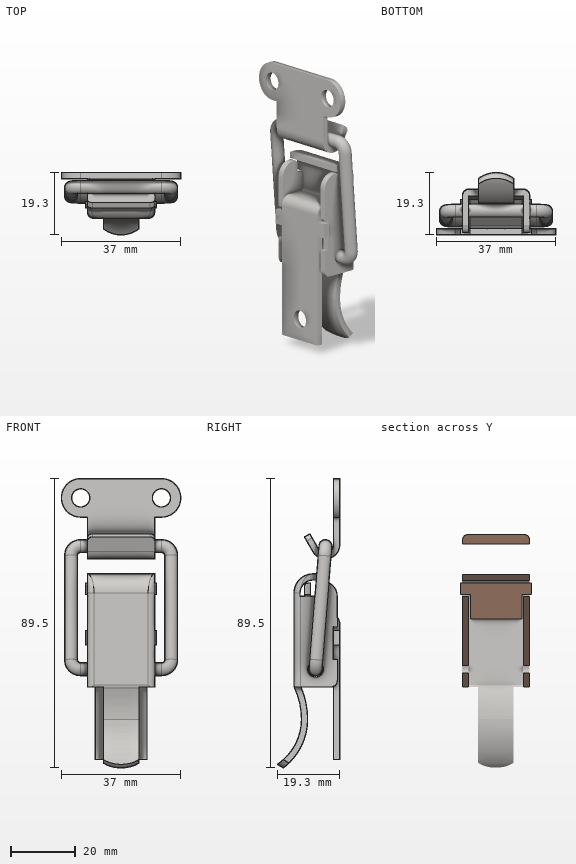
import cadquery as cq
import math


height = 89.5
sheet = 2.0
cover_width = 20.85

strike_width = 37.0
ear_radius = 6.0
strike_hole = 5.55
hook_inner_radius = 2.5
hook_outer_radius = hook_inner_radius + sheet
hook_bottom = 64.6
hook_angle = 30.0
hook_lip = 5.3
hook_corner_radius = 1.5

wire = 4.0
bail_width = 35.0
bail_corner_radius = 2.95
pivot_depth = 7.5
pivot_z = 30.5
pivot_hole = 4.7

cover_front = 14.2
cover_back = 0.8
cover_bottom = 25.0
front_face_bottom = 25.15
kink_radius = 2.3
curl_radius = 6.0
curl_center_z = 54.1
curl_end_depth = 5.6
cover_edge_round = 2.1
fade_angles = (0, 20, 40, 60, 75, 85)
wall_corner_radius = 2.0
wall_top = 53.2
wall_tab_top = 57.6
wall_tab_depth = 7.0
wall_tab_back_radius = 4.5
wall_tab_front_radius = 1.3
notch_bottom = 33.6
notch_top = 43.6
notch_depth = 2.1

finger_width = 11.0
waist_depth = 11.9
waist_z = 15.0
lower_sweep_radius = 16.7
tip_overrun_angle = 75.0
tip_radius = 7.9
tip_depth = 19.3
tip_tilt = 31.8

base_width = 16.0
base_bottom = 2.6
base_hole = 5.55
base_hole_z = 9.4
bend_inner_radius = 1.0
bend_outer_radius = bend_inner_radius + sheet
base_bend_z = 44.6
hinge_depth = 9.0
lug_span = 22.0
hinge_lug_bottom = 53.6
hinge_lug_top = 57.2
hinge_lug_round = 1.1
stop_lug_bottom = 37.95
stop_lug_top = 42.5


def side_plane(x=0.0):
    """Sketch plane across X: first coordinate is depth, second is Z."""
    return cq.Workplane(cq.Plane(origin=(x, 0, 0), xDir=(0, -1, 0), normal=(-1, 0, 0)))


def block(width, depth_min, depth_max, z_min, z_max):
    """Box centred on X = 0 between two depths and two heights."""
    return (
        cq.Workplane("XY")
        .box(width, depth_max - depth_min, z_max - z_min)
        .translate((0, -(depth_min + depth_max) / 2, (z_min + z_max) / 2))
    )


def cross_hole(diameter, x, z, depth):
    """Cylinder along Y from the mounting surface forward."""
    return cq.Workplane("XZ", origin=(x, 0, z)).circle(diameter / 2).extrude(depth)


def polar(center, radius, degrees):
    """Point at an angle measured from the forward direction towards +Z."""
    angle = math.radians(degrees)
    return center[0] + radius * math.cos(angle), center[1] + radius * math.sin(angle)


def make_strike():
    ear_z = height - ear_radius
    hole_x = strike_width / 2 - ear_radius
    ears = cq.Workplane("XZ", origin=(0, 0, ear_z)).slot2D(strike_width, 2 * ear_radius).extrude(sheet)

    center = (hook_outer_radius, hook_bottom + hook_outer_radius)
    lip_y = hook_lip * math.sin(math.radians(hook_angle))
    lip_z = hook_lip * math.cos(math.radians(hook_angle))
    outer_end = polar(center, hook_outer_radius, -hook_angle)
    inner_end = polar(center, hook_inner_radius, -hook_angle)
    outer_tip = (outer_end[0] + lip_y, outer_end[1] + lip_z)
    inner_tip = (inner_end[0] + lip_y, inner_end[1] + lip_z)
    hook = (
        side_plane()
        .moveTo(0, ear_z)
        .lineTo(0, center[1])
        .threePointArc((center[0], hook_bottom), outer_end)
        .lineTo(*outer_tip)
        .lineTo(*inner_tip)
        .lineTo(*inner_end)
        .threePointArc((center[0], hook_bottom + sheet), (sheet, center[1]))
        .lineTo(sheet, ear_z)
        .close()
        .extrude(cover_width / 2, both=True)
    )
    lip_corners = cq.selectors.BoxSelector(
        (-cover_width, -outer_tip[0] - sheet, outer_tip[1] - sheet / 2),
        (cover_width, -inner_tip[0] + sheet / 2, inner_tip[1] + sheet),
    )
    hook = hook.edges(lip_corners).edges("not |X").fillet(hook_corner_radius)

    strike = ears.union(hook)
    for x in (-hole_x, hole_x):
        strike = strike.cut(cross_hole(strike_hole, x, ear_z, sheet))
    return strike


def make_bail():
    """Closed wire loop that leans back from the lever pivot into the hook."""
    rise = hook_bottom + sheet + wire / 2 - pivot_z
    setback = pivot_depth - hook_outer_radius
    length = math.hypot(rise, setback)
    half = bail_width / 2 - wire / 2
    r = bail_corner_radius
    loop_plane = cq.Plane(origin=(0, -pivot_depth, pivot_z), xDir=(1, 0, 0), normal=(0, -rise, setback))
    path = (
        cq.Workplane(loop_plane)
        .lineTo(half - r, 0)
        .radiusArc((half, r), -r)
        .lineTo(half, length - r)
        .radiusArc((half - r, length), -r)
        .lineTo(r - half, length)
        .radiusArc((-half, length - r), -r)
        .lineTo(-half, r)
        .radiusArc((r - half, 0), -r)
        .close()
    )
    return cq.Workplane("YZ", origin=(0, -pivot_depth, pivot_z)).circle(wire / 2).sweep(path)


def make_lever_strip():
    """Rolled top, front face and finger tab, all at the full width of the cover."""
    curl = (cover_front - curl_radius, curl_center_z)
    curl_inner_radius = curl_radius - sheet
    curl_top = curl_center_z + curl_radius
    inner_face = cover_front - sheet

    upper_rise = front_face_bottom - waist_z
    upper_run = cover_front - waist_depth
    upper_radius = (upper_rise**2 + upper_run**2) / (2 * upper_run)
    upper = (waist_depth + upper_radius, waist_z)
    lower = (waist_depth + lower_sweep_radius, waist_z)
    front_angle = math.degrees(math.asin(upper_rise / upper_radius))
    back_angle = math.degrees(math.acos((upper[0] - inner_face) / (upper_radius + sheet)))
    end_angle = 180 + tip_overrun_angle
    mid_angle = 180 + tip_overrun_angle / 2

    strip = (
        side_plane()
        .moveTo(curl_end_depth, curl_top)
        .lineTo(curl[0], curl_top)
        .threePointArc(polar(curl, curl_radius, 45), (cover_front, curl_center_z))
        .lineTo(cover_front, front_face_bottom)
        .threePointArc(polar(upper, upper_radius, 180 - front_angle / 2), (waist_depth, waist_z))
        .threePointArc(
            polar(lower, lower_sweep_radius, mid_angle), polar(lower, lower_sweep_radius, end_angle)
        )
        .lineTo(*polar(lower, lower_sweep_radius + sheet, end_angle))
        .threePointArc(
            polar(lower, lower_sweep_radius + sheet, mid_angle), (waist_depth - sheet, waist_z)
        )
        .threePointArc(
            polar(upper, upper_radius + sheet, 180 - back_angle / 2),
            polar(upper, upper_radius + sheet, 180 - back_angle),
        )
        .lineTo(inner_face, curl_center_z)
        .threePointArc(polar(curl, curl_inner_radius, 45), (curl[0], curl_top - sheet))
        .lineTo(curl_end_depth, curl_top - sheet)
        .close()
        .extrude(cover_width / 2, both=True)
    )
    kink = cq.selectors.NearestToPointSelector((0, -cover_front, front_face_bottom))
    return strip.edges(kink).fillet(kink_radius)


def make_tip_cutter():
    """Stock outside the rounded end of the finger tab, along the tilted end face."""
    tilt = math.radians(tip_tilt)
    drop = math.sqrt(lower_sweep_radius**2 - (waist_depth + lower_sweep_radius - tip_depth) ** 2)
    tip_plane = cq.Plane(
        origin=(0, -tip_depth, waist_z - drop),
        xDir=(1, 0, 0),
        normal=(0, -math.cos(tilt), math.sin(tilt)),
    )
    reach = 2 * tip_radius
    past_tip = cq.Workplane(tip_plane).rect(finger_width + sheet, reach).extrude(reach / 2, both=True)
    round_end = cq.Workplane(tip_plane).center(0, tip_radius).circle(tip_radius).extrude(reach / 2, both=True)
    return past_tip.cut(round_end)


def corner_section(scale, z):
    """Outline at height z of the stock outside a rounded front corner of the cover."""
    side = cover_width / 2
    radius = scale * cover_edge_round
    curl_depth = cover_front - curl_radius
    front = curl_depth + scale * curl_radius
    bulge = radius * (1 - math.sqrt(0.5))
    return (
        cq.Workplane("XY", origin=(0, 0, z))
        .moveTo(side, radius - front)
        .threePointArc((side - bulge, bulge - front), (side - radius, -front))
        .lineTo(side - radius, -front - sheet)
        .lineTo(side + sheet, -front - sheet)
        .lineTo(side + sheet, radius - front)
        .close()
    )


def make_corner_cutter():
    """Rounds one long edge; the radius fades to nothing over the top of the curl."""
    straight_height = curl_center_z - cover_bottom
    straight = corner_section(1.0, cover_bottom).extrude(straight_height)
    sections = []
    for angle in fade_angles:
        z = curl_center_z + curl_radius * math.sin(math.radians(angle))
        sections.append(corner_section(math.cos(math.radians(angle)), z).val())
    fade = cq.Solid.makeLoft(sections)
    return straight.union(cq.Workplane(fade))


def make_side_wall(x):
    """Side wall one sheet thick, from x towards -X, with its rear tab, base plate notch and bail hole."""
    r = wall_corner_radius
    back_r = wall_tab_back_radius
    front_r = wall_tab_front_radius
    tab_back = (cover_back + back_r, wall_tab_top - back_r)
    tab_front = (wall_tab_depth - front_r, wall_tab_top - front_r)
    tab_foot = (wall_tab_depth + front_r, wall_top + front_r)
    outline = (
        side_plane(x)
        .moveTo(cover_back + r, cover_bottom)
        .threePointArc(polar((cover_back + r, cover_bottom + r), r, 225), (cover_back, cover_bottom + r))
        .lineTo(cover_back, notch_bottom)
        .lineTo(notch_depth, notch_bottom)
        .lineTo(notch_depth, notch_top)
        .lineTo(cover_back, notch_top)
        .lineTo(cover_back, tab_back[1])
        .threePointArc(polar(tab_back, back_r, 135), (tab_back[0], wall_tab_top))
        .lineTo(tab_front[0], wall_tab_top)
        .threePointArc(polar(tab_front, front_r, 45), (wall_tab_depth, tab_front[1]))
        .lineTo(wall_tab_depth, tab_foot[1])
        .threePointArc(polar(tab_foot, front_r, 225), (tab_foot[0], wall_top))
        .lineTo(cover_front - sheet, wall_top)
        .lineTo(cover_front - sheet, cover_bottom)
        .close()
    )
    wall = outline.extrude(sheet)
    hole = side_plane(x).center(pivot_depth, pivot_z).circle(pivot_hole / 2).extrude(sheet)
    return wall.cut(hole)


def make_cover():
    strip = make_lever_strip()
    beside_finger = block(cover_width, 0, 2 * tip_depth, -height, cover_bottom).cut(
        block(finger_width, 0, 2 * tip_depth, -height, cover_bottom)
    )
    cover = strip.cut(beside_finger).cut(make_tip_cutter())
    for x in (-cover_width / 2 + sheet, cover_width / 2):
        cover = cover.union(make_side_wall(x))
    corner = make_corner_cutter()
    return cover.cut(corner).cut(corner.mirror("YZ"))


def make_base():
    hinge_front = hinge_depth + sheet
    rear_bend = (bend_outer_radius, base_bend_z)
    shelf_top = base_bend_z + bend_outer_radius
    front_bend = (hinge_depth - bend_inner_radius, shelf_top + bend_inner_radius)
    strip = (
        side_plane()
        .moveTo(0, base_bottom)
        .lineTo(0, base_bend_z)
        .threePointArc(polar(rear_bend, bend_outer_radius, 135), (rear_bend[0], shelf_top))
        .lineTo(front_bend[0], shelf_top)
        .threePointArc(polar(front_bend, bend_inner_radius, -45), (hinge_depth, front_bend[1]))
        .lineTo(hinge_depth, hinge_lug_top)
        .lineTo(hinge_front, hinge_lug_top)
        .lineTo(hinge_front, front_bend[1])
        .threePointArc(polar(front_bend, bend_outer_radius, -45), (front_bend[0], shelf_top - sheet))
        .lineTo(rear_bend[0], shelf_top - sheet)
        .threePointArc(polar(rear_bend, bend_inner_radius, 135), (sheet, base_bend_z))
        .lineTo(sheet, base_bottom)
        .close()
        .extrude(base_width / 2, both=True)
    )
    hinge_lugs = block(lug_span, hinge_depth, hinge_front, hinge_lug_bottom, hinge_lug_top)
    stop_lugs = block(lug_span, 0, sheet, stop_lug_bottom, stop_lug_top)
    base = strip.union(hinge_lugs)
    base = base.faces(">Z").edges("<Y").fillet(hinge_lug_round)
    base = base.union(stop_lugs)
    return base.cut(cross_hole(base_hole, 0, base_hole_z, sheet))


strike = make_strike()
bail = make_bail()
cover = make_cover()
base = make_base()

result = cq.Compound.makeCompound([body.solids().val() for body in (strike, bail, cover, base)])